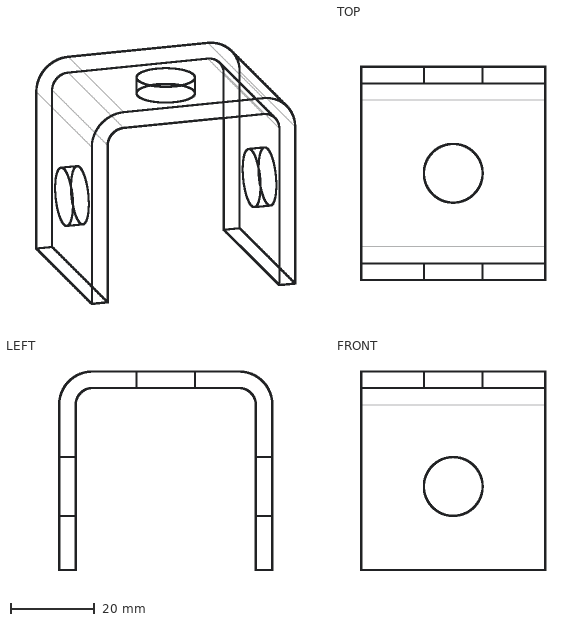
import cadquery as cq

length = 44.0
width = 51.0
height = 47.5
thickness = 4.0
inner_bend_radius = 4.0
hole_diameter = 14.0
leg_hole_height = 20.0

outer_bend_radius = inner_bend_radius + thickness


def rounded_block(block_width, block_height, bend_radius):
    """Block standing on Z = 0, centred in X and Y, with its two top X edges rounded."""
    block = cq.Workplane("XY").box(length, block_width, block_height, centered=(True, True, False))
    return block.edges("|X and >Z").fillet(bend_radius)


def bent_channel():
    """U-shaped sheet of constant thickness, open at the bottom."""
    outside = rounded_block(width, height, outer_bend_radius)
    inside = rounded_block(width - 2 * thickness, height - thickness, inner_bend_radius)
    return outside.cut(inside)


def leg_holes():
    """One cylinder along Y that pierces both legs."""
    axis_plane = cq.Workplane("XZ", origin=(0, 0, leg_hole_height))
    return axis_plane.circle(hole_diameter / 2).extrude(width / 2, both=True)


def top_hole():
    """Cylinder along Z through the centre of the top web."""
    web_underside = cq.Workplane("XY", origin=(0, 0, height - thickness))
    return web_underside.circle(hole_diameter / 2).extrude(thickness)


result = bent_channel().cut(leg_holes()).cut(top_hole())